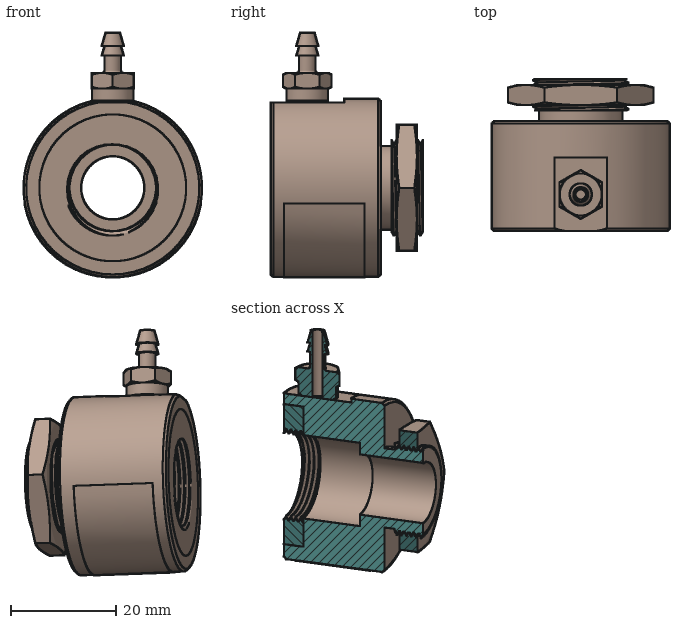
import cadquery as cq
import math

overall_height = 46.6
overall_length = 29.0

housing_diameter = 34.0
housing_length = 20.97
housing_chamfer = 0.5
bore_diameter = 12.0
chamber_diameter = 16.6
chamber_depth = 15.85
neck_diameter = 16.0
neck_length = 2.0
flat_width = 9.97
flat_length = 14.0

thread_diameter = 18.22
thread_turns = 6
thread_start = housing_length + neck_length
thread_length = overall_length - thread_start
thread_pitch = thread_length / thread_turns
thread_depth = thread_pitch * math.cos(math.radians(30))
thread_crest_radius = thread_diameter / 2
spiral_steps = 8

insert_diameter = 27.95
insert_turns = 4
insert_depth = insert_turns * thread_pitch

nut_across_flats = 24.0
nut_thickness = 3.8
nut_start = 24.0
nut_chamfer_angle = 15

label_thickness = 0.1
label_wrap_angle = 160
label_start = 2.5
label_width = 15.35

fitting_y = 7.0
fitting_bore_diameter = 2.0
barb_tip_diameter = 2.8
barb_diameter = 4.25
stem_diameter = 3.15
stem_fillet = 0.4
upper_barb_length = 2.55
lower_barb_length = 1.8
stem_length = 3.25
fitting_hex_across_flats = 8.0
fitting_hex_height = 3.05
fitting_hex_chamfer_angle = 30
collar_diameter = 7.92
collar_chamfer_width = 0.65
collar_chamfer_height = 0.35

housing_radius = housing_diameter / 2
flat_z = math.sqrt(housing_radius**2 - (flat_width / 2) ** 2)
label_radius = housing_radius + label_thickness
fitting_top = overall_height - label_radius


def axis_plane(y):
    """Plane across the main axis: local x points up (+Z), local y points to +X, normal is +Y."""
    return cq.Plane(origin=(0, y, 0), xDir=(0, 0, 1), normal=(0, 1, 0))


def disc(diameter, y, length):
    return cq.Workplane(axis_plane(y)).circle(diameter / 2).extrude(length)


def thread_rod(y, turns, crest_angle):
    """Right-handed threaded rod whose crest starts at crest_angle, measured from +Z towards +X.

    A cut across a single-start V thread is two mirrored spirals, so twisting that outline
    once per pitch gives the thread.
    """

    def spiral_point(half_turns):
        """Point half_turns on from the crest; the radius falls to the root and rises again."""
        radius = thread_crest_radius - thread_depth * (1 - abs(1 - half_turns))
        angle = math.radians(crest_angle) + math.pi * half_turns
        return (radius * math.cos(angle), radius * math.sin(angle))

    falling = [spiral_point(i / spiral_steps) for i in range(spiral_steps + 1)]
    rising = [spiral_point(1 + i / spiral_steps) for i in range(spiral_steps)] + falling[:1]
    return (
        cq.Workplane(axis_plane(y))
        .spline(falling)
        .spline(rising)
        .wire()
        .twistExtrude(turns * thread_pitch, 360 * turns)
    )


def chamfered_hex(plane, across_flats, height, chamfer_angle):
    """Hexagon prism with corners on local x, both ends turned down to a circle between the flats."""
    corner_radius = across_flats / math.sqrt(3)
    flat_radius = across_flats / 2
    drop = (corner_radius - flat_radius) * math.tan(math.radians(chamfer_angle))
    prism = cq.Workplane(plane).polygon(6, 2 * corner_radius).extrude(height)
    envelope_profile = [
        (0, 0),
        (flat_radius, 0),
        (corner_radius, drop),
        (corner_radius, height - drop),
        (flat_radius, height),
        (0, height),
    ]
    side_plane = cq.Plane(origin=plane.origin, xDir=plane.xDir, normal=plane.xDir.cross(plane.zDir))
    envelope = cq.Workplane(side_plane).polyline(envelope_profile).close().revolve(360, (0, 0), (0, 1))
    return prism.intersect(envelope)


def make_housing():
    body = disc(housing_diameter, 0, housing_length).faces("<Y or >Y").chamfer(housing_chamfer)
    flat_cut = (
        cq.Workplane("XY", origin=(0, 0, flat_z))
        .rect(flat_width, 2 * flat_length)
        .extrude(housing_radius - flat_z)
    )
    neck = disc(neck_diameter, housing_length, neck_length)
    recess = disc(insert_diameter, 0, insert_depth)
    chamber = disc(chamber_diameter, 0, chamber_depth)
    bore = disc(bore_diameter, 0, overall_length)
    return body.cut(flat_cut).union(neck).union(outer_thread).cut(recess).cut(chamber).cut(bore)


def make_insert():
    return disc(insert_diameter, 0, insert_depth).cut(thread_rod(0, insert_turns, 180))


def make_nut():
    plane = cq.Plane(origin=(0, nut_start, 0), xDir=(1, 0, 0), normal=(0, 1, 0))
    blank = chamfered_hex(plane, nut_across_flats, nut_thickness, nut_chamfer_angle)
    return blank.cut(outer_thread)


def make_label():
    half_angle = math.radians(label_wrap_angle / 2)

    def rim_point(radius, angle):
        return (-radius * math.cos(angle), radius * math.sin(angle))

    return (
        cq.Workplane(axis_plane(label_start))
        .moveTo(*rim_point(housing_radius, -half_angle))
        .threePointArc((-housing_radius, 0), rim_point(housing_radius, half_angle))
        .lineTo(*rim_point(label_radius, half_angle))
        .threePointArc((-label_radius, 0), rim_point(label_radius, -half_angle))
        .close()
        .extrude(label_width)
    )


def make_fitting():
    upper_barb_z = fitting_top - upper_barb_length
    lower_barb_z = upper_barb_z - lower_barb_length
    hex_top = lower_barb_z - stem_length
    hex_bottom = hex_top - fitting_hex_height
    stem_radius = stem_diameter / 2
    barb_radius = barb_diameter / 2
    collar_radius = collar_diameter / 2
    fillet_reach = stem_fillet * (1 - math.sqrt(0.5))

    turned = (
        cq.Workplane("XZ", origin=(0, fitting_y, 0))
        .moveTo(0, flat_z)
        .lineTo(collar_radius - collar_chamfer_width, flat_z)
        .lineTo(collar_radius, flat_z + collar_chamfer_height)
        .lineTo(collar_radius, hex_bottom)
        .lineTo(stem_radius + stem_fillet, hex_bottom)
        .lineTo(stem_radius + stem_fillet, hex_top)
        .threePointArc(
            (stem_radius + fillet_reach, hex_top + fillet_reach), (stem_radius, hex_top + stem_fillet)
        )
        .lineTo(stem_radius, lower_barb_z)
        .lineTo(barb_radius, lower_barb_z)
        .lineTo(stem_radius, upper_barb_z)
        .lineTo(barb_radius, upper_barb_z)
        .lineTo(barb_tip_diameter / 2, fitting_top)
        .lineTo(0, fitting_top)
        .close()
        .revolve(360, (0, 0), (0, 1))
    )
    hex_plane = cq.Plane(origin=(0, fitting_y, hex_bottom), xDir=(0, 1, 0), normal=(0, 0, 1))
    wrench_hex = chamfered_hex(
        hex_plane, fitting_hex_across_flats, fitting_hex_height, fitting_hex_chamfer_angle
    )
    bore = (
        cq.Workplane("XY", origin=(0, fitting_y, flat_z))
        .circle(fitting_bore_diameter / 2)
        .extrude(fitting_top - flat_z)
    )
    return turned.union(wrench_hex).cut(bore)


outer_thread = thread_rod(thread_start, thread_turns, 0)
housing = make_housing()
insert = make_insert()
nut = make_nut()
label = make_label()
fitting = make_fitting()

result = cq.Compound.makeCompound(
    [housing.val(), insert.val(), nut.val(), label.val(), fitting.val()]
)